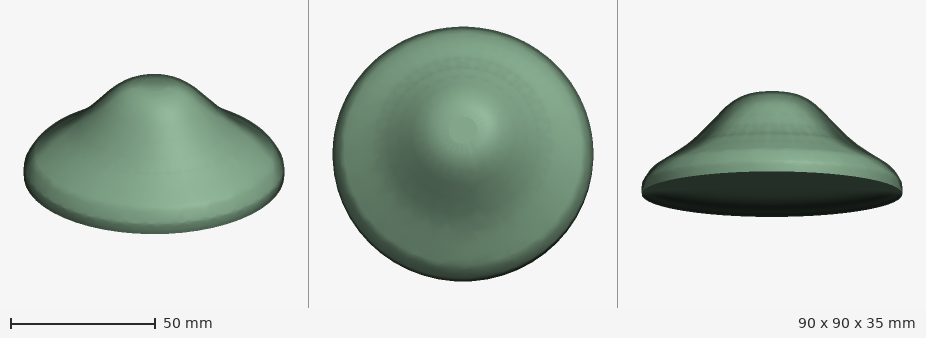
import cadquery as cq

base_diameter = 90.0
height = 35.0
top_flat_diameter = 9.7

base_radius = base_diameter / 2
top_flat_radius = top_flat_diameter / 2

crown_shoulder = (13.8, 32.1)
upper_flank = (22.0, 24.1)
flank_inflection = (30.15, 16.3)
lower_flank = (39.15, 10.3)
rim_shoulder = (42.5, 7.6)
rim_curve = (44.55, 4.3)

half_section = (
    cq.Workplane("XZ")
    .moveTo(0, height)
    .lineTo(top_flat_radius, height)
    .spline(
        [
            crown_shoulder,
            upper_flank,
            flank_inflection,
            lower_flank,
            rim_shoulder,
            rim_curve,
            (base_radius, 0),
        ],
        tangents=[(1, 0), (0, -1)],
        includeCurrent=True,
    )
    .lineTo(0, 0)
    .close()
)

result = half_section.revolve(360, (0, 0, 0), (0, 1, 0))